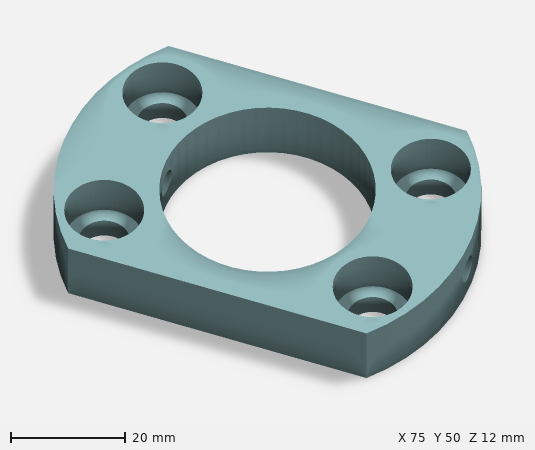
import cadquery as cq
import math

outer_diameter = 75.0
width_across_flats = 50.0
thickness = 12.0
bore_diameter = 37.95

bolt_circle_radius = 29.0
bolt_angle = math.radians(30)
bolt_hole_diameter = 9.0
counterbore_diameter = 14.0
counterbore_depth = 8.0

cross_hole_diameter = 4.95

bolt_x_spacing = 2 * bolt_circle_radius * math.cos(bolt_angle)
bolt_y_spacing = 2 * bolt_circle_radius * math.sin(bolt_angle)


def make_plate():
    disc = cq.Workplane("XY").circle(outer_diameter / 2).extrude(thickness)
    flats = cq.Workplane("XY").rect(outer_diameter, width_across_flats).extrude(thickness)
    return disc.intersect(flats)


def cut_bore(body):
    return body.faces(">Z").workplane(origin=(0, 0, thickness)).hole(bore_diameter)


def cut_bolt_holes(body):
    return (
        body.faces(">Z")
        .workplane(origin=(0, 0, thickness))
        .rect(bolt_x_spacing, bolt_y_spacing, forConstruction=True)
        .vertices()
        .cboreHole(bolt_hole_diameter, counterbore_diameter, counterbore_depth)
    )


def cut_cross_hole(body):
    drill = (
        cq.Workplane("YZ")
        .center(0, thickness / 2)
        .circle(cross_hole_diameter / 2)
        .extrude(outer_diameter / 2, both=True)
    )
    return body.cut(drill)


result = cut_cross_hole(cut_bolt_holes(cut_bore(make_plate())))